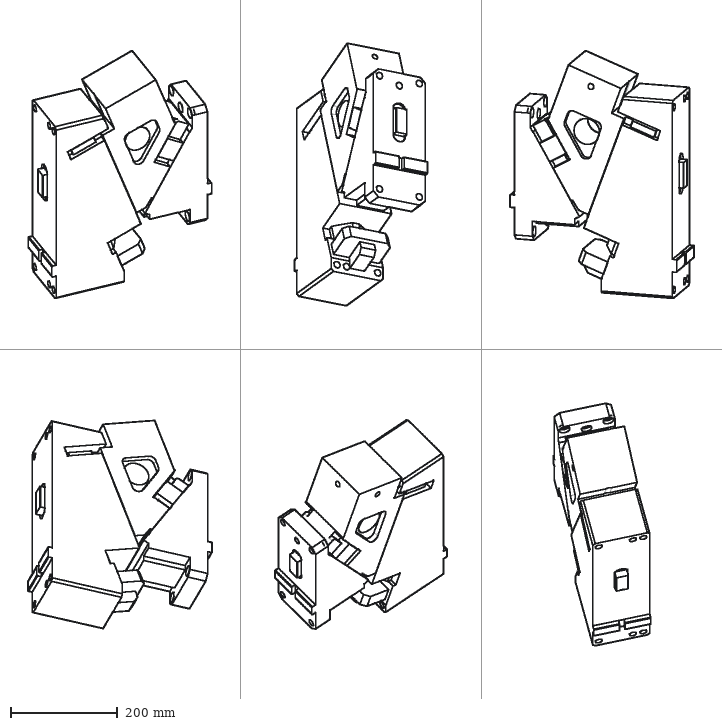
import cadquery as cq
import math

width = 110.0
half_width = width / 2
depth = 310.5
overall_height = 438.5
main_height = 384.5
end_chamfer = 5.0

seam_tilt = 20
seam_gap = 1.0

back_seam_tilt = -30
back_foot_y, back_foot_z = 182.5, 145.5
back_seam_gap = 0.5

coupler_front_w, coupler_back_w = 26.5, 136.0
coupler_top_v = 285.0
seam_foot_y = 174.0
seam_foot_z = (
    overall_height
    - coupler_back_w * math.sin(math.radians(seam_tilt))
    - coupler_top_v * math.cos(math.radians(seam_tilt))
)

main_recess = 14.0
recess_end_w = -73.0
lug_root_w = -63.5
lug_tip_w = -43.5
lug_taper = 33.8

horn_overhang = 16.2
slot_bottom_v, slot_top_v = 219.5, 240.0
foot_depth = 140.0
foot_face_w = -65.5
lug_height = 30.0

plug_side_gap = 6.5
plug_top_v, plug_bottom_v = -44.7, -70.0
plug_tip_w, plug_taper_w = -9.0, -19.0
plug_taper = 10.0
plug_rib_half_width = 15.5
plug_rib_shoulder_v, plug_rib_bottom_v = -83.7, -93.0
plug_rib_tip_w = -29.5

coupler_bottom_v = 28.5
coupler_toe_w = 21.0
shoulder_v = 232.5
tongue_neck_w = -14.5
tongue_side_gap = 8.5
relief_top_v = 33.5
relief_gap = 4.0
step_v = 191.5
bore_w, bore_v = 61.0, 174.5
bore_diameter = 50.0
pocket_depth = 11.0
pocket_front_w, pocket_back_w, pocket_top_v = 35.0, 105.2, 205.0
pocket_slant_w = -62.0
pocket_corner = 11.0
pin_hole_diameter = 11.0
pin_hole_v = 264.0
front_groove_width = 10.5
front_groove_depth = 1.0

hook_depth = 13.5
hook_side_gap = 0.5
hook_head_depth = 23.0
hook_neck_w, hook_end_w = -28.0, -37.3
hook_recess_w = -38.0
hook_bottom_v, hook_top_v = 117.0, 157.0
recess_bottom_v = 104.0
lip_radius = 5.5

plate_thickness = 31.0
plate_foot_thickness = 35.5
plate_bottom, plate_top = 90.0, 349.5
plate_chamfer = 10.5
body_bottom = 129.5
sole_bottom = 119.0
sole_inset = 26.5
wedge_front_y = 192.0
seam_step_v = 182.0
seam_step = 1.0
plate_hole_spread = 42.0
plate_hole_low_z, plate_hole_high_z = 106.5, 336.5
plate_middle_hole_z = 324.0

hole_columns = (-43.5, 22.5, 42.5)
hole_diameter = 12.5
hole_end_distance = 15.0
counterbore_diameter = 19.5
counterbore_depth = 6.5
stand_out = 8.8
key_width, key_height = 23.5, 50.0
key_chamfer = 1.5
keyway_width, keyway_length, keyway_depth = 26.0, 77.5, 4.5
bar_height = 24.5
bar_gap = 10.5
bar_gap_depth = 8.5
bar_chamfer = 1.5
main_key_z, plate_key_z = 229.8, 249.5
main_bar_z, plate_bar_z = 65.0, 165.5


def seam_point(w, v):
    """(Y, Z) of a point given on the axes of the seam between main unit and coupler."""
    tilt = math.radians(seam_tilt)
    return (
        seam_foot_y + w * math.cos(tilt) - v * math.sin(tilt),
        seam_foot_z + w * math.sin(tilt) + v * math.cos(tilt),
    )


def back_point(w, v):
    """(Y, Z) of a point given on the axes of the seam between coupler and back plate."""
    tilt = math.radians(back_seam_tilt)
    return (
        back_foot_y + w * math.cos(tilt) - v * math.sin(tilt),
        back_foot_z + w * math.sin(tilt) + v * math.cos(tilt),
    )


def crossing(start, angle, other_start, other_angle):
    """(Y, Z) where two lines meet, each given by a point and its angle from the Y axis in degrees."""
    angle, other_angle = math.radians(angle), math.radians(other_angle)
    dy, dz = other_start[0] - start[0], other_start[1] - start[1]
    along = (dy * math.sin(other_angle) - dz * math.cos(other_angle)) / math.sin(other_angle - angle)
    return start[0] + along * math.cos(angle), start[1] + along * math.sin(angle)


def prism(points, x_from, x_to):
    """Prism along X over an outline in the YZ plane."""
    return cq.Workplane("YZ", origin=(x_from, 0, 0)).polyline(points).close().extrude(x_to - x_from)


def band(place, w_from, w_to, v_from, v_to, half):
    """Block of the given half width, square to the seam whose axes `place` converts."""
    corners = [place(w_from, v_from), place(w_to, v_from), place(w_to, v_to), place(w_from, v_to)]
    return prism(corners, -half, half)


def both_sides(feature):
    """The feature together with its mirror image about the middle plane X = 0."""
    return feature.union(feature.mirror("YZ"))


def side_band(place, w_from, w_to, v_from, v_to, cut_depth):
    """Two blocks of the given depth, one reaching in from each side face."""
    middle = band(place, w_from, w_to, v_from, v_to, half_width - cut_depth)
    return band(place, w_from, w_to, v_from, v_to, half_width).cut(middle)


def tapered_lug(outline, v_from, v_to):
    """Half outline of (x, w) points, mirrored about X = 0 and extruded along the first seam."""
    mirrored = [(-x, w) for x, w in reversed(outline)]
    y, z = seam_point(0, v_from)
    tilt = math.radians(seam_tilt)
    plane = cq.Plane(origin=(0, y, z), xDir=(1, 0, 0), normal=(0, -math.sin(tilt), math.cos(tilt)))
    return cq.Workplane(plane).polyline(outline + mirrored).close().extrude(v_to - v_from)


def y_cylinder(x, z, diameter, y_from, y_to):
    """Cylinder along Y."""
    plane = cq.Plane(origin=(x, y_from, z), xDir=(1, 0, 0), normal=(0, 1, 0))
    return cq.Workplane(plane).circle(diameter / 2).extrude(y_to - y_from)


def end_chamfered_block(y_from, y_to, z_from, z_to, chamfer):
    """Full-width block with chamfers along Y on all four edges."""
    block = cq.Workplane("XY").box(width, y_to - y_from, z_to - z_from)
    middle = (0, (y_from + y_to) / 2, (z_from + z_to) / 2)
    return block.edges("|Y").chamfer(chamfer).translate(middle)


def add_mounts(body, face_y, outward, key_z, bar_z):
    """Adds a key in a round-ended keyway and a split locating bar on the face at face_y."""
    outer_side = ">Y" if outward > 0 else "<Y"
    keyway = (
        cq.Workplane("XZ", origin=(0, face_y, key_z))
        .slot2D(keyway_length, keyway_width, 90)
        .extrude(outward * keyway_depth)
    )
    key = (
        cq.Workplane("XY")
        .box(key_width, keyway_depth + stand_out, key_height)
        .edges("|Z")
        .edges(outer_side)
        .chamfer(key_chamfer)
        .translate((0, face_y + outward * (stand_out - keyway_depth) / 2, key_z))
    )
    gap = (
        cq.Workplane("XY")
        .box(bar_gap, bar_gap_depth, bar_height)
        .translate((0, outward * (stand_out - bar_gap_depth) / 2, 0))
    )
    bar = (
        cq.Workplane("XY")
        .box(width, stand_out, bar_height)
        .edges("|X")
        .edges(outer_side)
        .chamfer(bar_chamfer)
        .cut(gap)
        .translate((0, face_y + outward * stand_out / 2, bar_z))
    )
    return body.cut(keyway).union(key).union(bar)


def make_plug():
    """Plug with a tapered tip and a narrower rib below it, square to the seam."""
    half = half_width - plug_side_gap
    outline = [(half, recess_end_w), (half, plug_taper_w), (half - plug_taper, plug_tip_w)]
    plug = tapered_lug(outline, plug_bottom_v, plug_top_v)
    rib = prism(
        [
            seam_point(recess_end_w, plug_bottom_v),
            seam_point(plug_taper_w, plug_bottom_v),
            seam_point(plug_taper_w, plug_rib_shoulder_v),
            seam_point(plug_rib_tip_w, plug_rib_bottom_v),
            seam_point(recess_end_w, plug_rib_bottom_v),
        ],
        -plug_rib_half_width,
        plug_rib_half_width,
    )
    return plug.union(rib)


def make_main_unit():
    """Main unit: block with a tilted back, a slot below its horn, lugs, a plug and the front mounts."""
    tilt = math.radians(seam_tilt)
    foot_v = (seam_foot_y + foot_face_w * math.cos(tilt) - foot_depth) / math.sin(tilt)
    horn_top_v = (main_height - seam_point(horn_overhang, 0)[1]) / math.cos(tilt)
    outline = prism(
        [
            (0, 0),
            (foot_depth, 0),
            seam_point(foot_face_w, foot_v),
            seam_point(foot_face_w, 0),
            seam_point(0, 0),
            seam_point(0, slot_bottom_v),
            seam_point(recess_end_w, slot_bottom_v),
            seam_point(recess_end_w, slot_top_v),
            seam_point(horn_overhang, slot_top_v),
            seam_point(horn_overhang, horn_top_v),
            (0, main_height),
        ],
        -half_width,
        half_width,
    )
    unit = outline.intersect(end_chamfered_block(0, depth, 0, main_height, end_chamfer))

    lug_half = half_width - main_recess
    lug_outline = [
        (lug_half, recess_end_w),
        (lug_half, lug_root_w),
        (lug_half - lug_taper, lug_tip_w),
    ]
    unit = unit.cut(side_band(seam_point, recess_end_w, foot_face_w, -lug_height, 0, main_recess))
    unit = unit.union(tapered_lug(lug_outline, -lug_height, 0))
    unit = unit.union(tapered_lug(lug_outline, shoulder_v, slot_top_v))
    unit = unit.union(band(seam_point, recess_end_w, lug_root_w, slot_bottom_v, slot_top_v, lug_half))
    unit = unit.union(make_plug())

    for x in hole_columns:
        for z in (hole_end_distance, main_height - hole_end_distance):
            unit = unit.cut(y_cylinder(x, z, hole_diameter, 0, depth))
    return add_mounts(unit, 0, -1, main_key_z, main_bar_z)


def hook_recess():
    """Open-topped recesses for both hooks, each with a deeper groove behind a rounded lip."""
    recess = side_band(back_point, hook_recess_w, 0, recess_bottom_v, step_v, hook_depth)
    lip_w, lip_v = hook_neck_w + lip_radius, step_v - lip_radius
    diagonal = lip_radius * math.sqrt(0.5)
    groove = (
        cq.Workplane("YZ", origin=(-half_width, 0, 0))
        .moveTo(*back_point(hook_recess_w, recess_bottom_v))
        .lineTo(*back_point(hook_neck_w, recess_bottom_v))
        .lineTo(*back_point(hook_neck_w, lip_v))
        .threePointArc(back_point(lip_w - diagonal, lip_v + diagonal), back_point(lip_w, step_v))
        .lineTo(*back_point(hook_recess_w, step_v))
        .close()
        .extrude(hook_head_depth)
    )
    return recess.union(both_sides(groove))


def side_pocket():
    """Rounded four-sided pocket in the -X side face."""
    front_top = seam_point(pocket_front_w, pocket_top_v)
    back_top = seam_point(pocket_back_w, pocket_top_v)
    slant_point = back_point(pocket_slant_w, 0)
    along_seam, along_back_seam = 90 + seam_tilt, 90 + back_seam_tilt
    corners = [
        crossing(front_top, along_seam, slant_point, along_back_seam),
        front_top,
        back_top,
        crossing(back_top, along_seam, slant_point, along_back_seam),
    ]
    pocket = prism(corners, -half_width, -half_width + pocket_depth)
    return pocket.edges("|X").fillet(pocket_corner)


def front_groove():
    """Shallow round groove up the middle of the coupler's front face."""
    y, z = seam_point(coupler_front_w, shoulder_v)
    tilt = math.radians(seam_tilt)
    plane = cq.Plane(origin=(0, y, z), xDir=(1, 0, 0), normal=(0, -math.sin(tilt), math.cos(tilt)))
    half = front_groove_width / 2
    return (
        cq.Workplane(plane)
        .moveTo(-half, 0)
        .threePointArc((0, front_groove_depth), (half, 0))
        .close()
        .extrude(coupler_top_v - shoulder_v)
    )


def pin_holes():
    """Hole from the -X side face to the middle, met there by one from the back face."""
    middle_w = (coupler_front_w + coupler_back_w) / 2
    across = (
        cq.Workplane("YZ", origin=(-half_width, 0, 0))
        .center(*seam_point(middle_w, pin_hole_v))
        .circle(pin_hole_diameter / 2)
        .extrude(half_width)
    )
    y, z = seam_point(middle_w, pin_hole_v)
    tilt = math.radians(seam_tilt)
    plane = cq.Plane(origin=(0, y, z), xDir=(1, 0, 0), normal=(0, math.cos(tilt), math.sin(tilt)))
    inward = cq.Workplane(plane).circle(pin_hole_diameter / 2).extrude(coupler_back_w - middle_w)
    return across.union(inward)


def make_coupler():
    """Coupler between the two seams, with a tongue reaching into the main unit's slot."""
    back_top = seam_point(coupler_back_w, coupler_top_v)
    step = back_point(-back_seam_gap, step_v)
    outline = [
        seam_point(seam_gap, coupler_bottom_v),
        seam_point(seam_gap, shoulder_v),
        seam_point(coupler_front_w, shoulder_v),
        seam_point(coupler_front_w, coupler_top_v),
        back_top,
        crossing(back_top, 90 + seam_tilt, step, back_seam_tilt),
        step,
        back_point(-back_seam_gap, relief_top_v),
        back_point(-relief_gap, relief_top_v),
        seam_point(coupler_toe_w, coupler_bottom_v),
    ]
    coupler = prism(outline, -half_width, half_width)
    coupler = coupler.cut(hook_recess())

    neck_half = half_width - main_recess
    head_half = half_width - tongue_side_gap
    neck = band(seam_point, tongue_neck_w, seam_gap, slot_bottom_v, shoulder_v, neck_half)
    head = band(seam_point, lug_root_w, tongue_neck_w, slot_bottom_v, shoulder_v, head_half)
    coupler = coupler.union(neck).union(head)

    bore = (
        cq.Workplane("YZ", origin=(-half_width, 0, 0))
        .center(*seam_point(bore_w, bore_v))
        .circle(bore_diameter / 2)
        .extrude(width)
    )
    return coupler.cut(bore).cut(both_sides(side_pocket())).cut(front_groove()).cut(pin_holes())


def make_back_plate():
    """Back plate with a wedge up to the back seam, hooks on its sides and the rear mounts."""
    face_y = depth - plate_thickness
    foot_face_y = depth - plate_foot_thickness
    plate = end_chamfered_block(foot_face_y, depth, plate_bottom, plate_top, plate_chamfer)
    above_foot = [
        (foot_face_y, body_bottom),
        (face_y, body_bottom),
        (face_y, plate_top),
        (foot_face_y, plate_top),
    ]
    plate = plate.cut(prism(above_foot, -half_width, half_width))
    wedge_top = crossing((face_y, 0), 90, back_point(seam_step, 0), 90 + back_seam_tilt)
    nose_w = (wedge_front_y - back_foot_y) / math.cos(math.radians(back_seam_tilt))
    wedge = prism(
        [
            (depth, body_bottom),
            (wedge_front_y, body_bottom),
            back_point(nose_w, 0),
            back_point(0, 0),
            back_point(0, seam_step_v),
            back_point(seam_step, seam_step_v),
            wedge_top,
            (depth, wedge_top[1]),
        ],
        -half_width,
        half_width,
    )
    sole_corners = [
        (foot_face_y, sole_bottom),
        (wedge_front_y, sole_bottom),
        (wedge_front_y, body_bottom),
        (foot_face_y, body_bottom),
    ]
    sole = prism(sole_corners, sole_inset - half_width, half_width - sole_inset)
    body = plate.union(wedge).union(sole)

    hooks = side_band(back_point, hook_neck_w, 0, hook_bottom_v, hook_top_v, hook_depth)
    hook_heads = side_band(back_point, hook_end_w, hook_neck_w, hook_bottom_v, hook_top_v, hook_head_depth)
    inset = prism(
        [(0, 0), (depth, 0), (depth, main_height), (0, main_height)],
        hook_side_gap - half_width,
        half_width - hook_side_gap,
    )
    body = body.union(hooks.union(hook_heads).intersect(inset))

    holes = [(0, plate_middle_hole_z, face_y)]
    for x in (-plate_hole_spread, plate_hole_spread):
        holes.append((x, plate_hole_low_z, foot_face_y))
        holes.append((x, plate_hole_high_z, face_y))
    for x, z, seat_y in holes:
        body = body.cut(y_cylinder(x, z, hole_diameter, seat_y, depth))
        body = body.cut(y_cylinder(x, z, counterbore_diameter, seat_y, seat_y + counterbore_depth))
    return add_mounts(body, depth, 1, plate_key_z, plate_bar_z)


main_unit = make_main_unit()
coupler = make_coupler()
back_plate = make_back_plate()

result = cq.Compound.makeCompound([
    main_unit.solids().val(),
    coupler.solids().val(),
    back_plate.solids().val(),
])